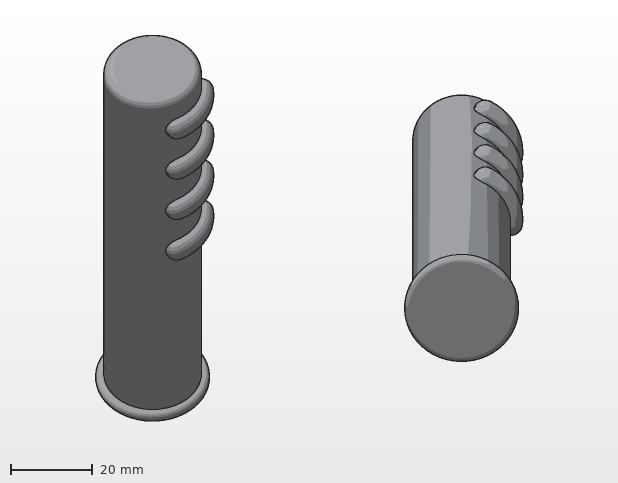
import cadquery as cq

height = 116.0
body_diameter = 24.0
body_radius = body_diameter / 2
top_fillet = 2.5

flange_diameter = 28.0
flange_height = 3.0

grip_radius = 3.0
grip_half_angle = 33.0
grip_count = 4
grip_pitch = 15.0
first_grip_depth = 10.0


def make_body():
    body = cq.Workplane("XY").circle(body_radius).extrude(height)
    return body.faces(">Z").edges().fillet(top_fillet)


def make_flange():
    """Disc whose rim is a half circle in section."""
    rim_radius = flange_height / 2
    outer_radius = flange_diameter / 2
    flat_radius = outer_radius - rim_radius
    return (
        cq.Workplane("XZ")
        .lineTo(flat_radius, 0)
        .threePointArc((outer_radius, rim_radius), (flat_radius, flange_height))
        .lineTo(0, flange_height)
        .close()
        .revolve(360, (0, 0), (0, 1))
    )


def make_grip(z):
    """Round bar bent around the body surface, with half a ball at each end."""
    bar = (
        cq.Workplane("XZ")
        .center(body_radius, z)
        .circle(grip_radius)
        .revolve(2 * grip_half_angle, (-body_radius, 0), (-body_radius, 1))
        .rotate((0, 0, 0), (0, 0, 1), -grip_half_angle)
    )
    half_ball = (
        cq.Workplane("XZ")
        .center(body_radius, z)
        .moveTo(0, -grip_radius)
        .threePointArc((grip_radius, 0), (0, grip_radius))
        .close()
        .revolve(180, (0, 0), (0, 1))
    )
    left_end = half_ball.rotate((0, 0, 0), (0, 0, 1), grip_half_angle)
    right_end = half_ball.mirror("XZ").rotate((0, 0, 0), (0, 0, 1), -grip_half_angle)
    return bar.union(left_end).union(right_end)


result = make_body().union(make_flange())
for index in range(grip_count):
    grip_z = height - first_grip_depth - index * grip_pitch
    result = result.union(make_grip(grip_z))